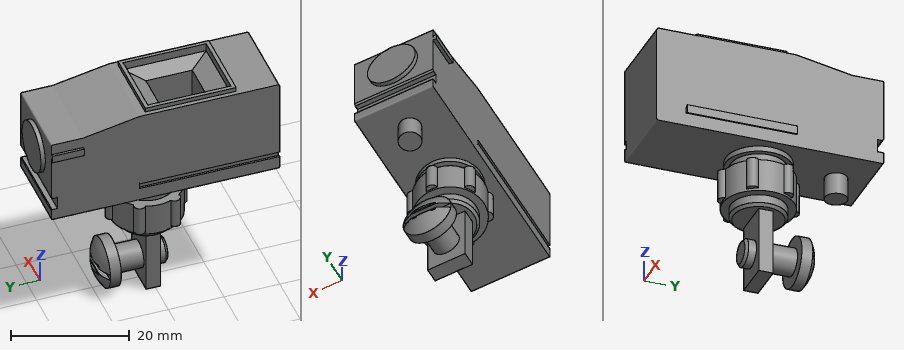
import cadquery as cq
import math


body_width = 15.1
half_width = body_width / 2
front_y = -21.25
back_y = 19.75
body_height = 18.0
low_height = 16.1
slope_start_y = 3.9
slope_end_y = 14.05
front_top_radius = 0.5
corner_radius = 0.3

notch_bottom = 2.15
notch_top = 4.5
notch_depth = 1.1
notch_top_chamfer = 0.3
notch_bottom_chamfer = 0.15

rail_depth = 0.7
lower_rail_z = 2.9
lower_rail_root = 0.98
lower_rail_face = 1.54
lower_rail_front_y = -16.0
upper_rail_z = 13.57
upper_rail_root = 1.0
upper_rail_face = 1.4

rim_width = 13.5
rim_length = 16.3
rim_height = 0.8
rim_wall = 0.7
window_y = -5.55
window_width = rim_width - 2 * rim_wall
window_length = rim_length - 2 * rim_wall
rim_top = body_height + rim_height
straight_depth = 1.5
funnel_depth = 1.7
throat_width = 8.0
throat_length = 8.3
throat_x = -0.1
throat_floor = 8.0

pad_diameter = 9.2
pad_z = 10.35
pad_height = 0.8

locator_diameter = 4.0
locator_y = 14.0
locator_length = 4.0

flange_diameter = 11.8
flange_height = 1.0
neck_diameter = 10.0
neck_length = 11.0
neck_chamfer = 0.5
knob_diameter = 12.9
knob_top = -3.0
knob_bottom = -9.0
lobe_count = 6
lobe_radius = 1.05
lobe_circle_radius = 6.25
lobe_bottom = -8.55

lug_width = 7.2
lug_thickness = 2.6
lug_bottom = -23.1
screw_z = -18.05
shank_diameter = 5.0
shank_tip_y = -3.2
tip_chamfer = 0.5
head_diameter = 9.2
head_seat_y = 6.1
head_rim_y = 8.05
head_crown_y = 9.65
slot_width = 1.1
slot_mouth_width = 1.85
slot_mouth_depth = 0.4


def box(x_range, y_range, z_range):
    """Box spanning the given (low, high) range on each axis."""
    lows, highs = zip(x_range, y_range, z_range)
    sizes = [high - low for low, high in zip(lows, highs)]
    return cq.Workplane("XY").box(*sizes, centered=False).translate(lows)


def rod_z(diameter, low, high, y=0.0):
    """Upright cylinder between two heights."""
    return cq.Workplane("XY", origin=(0, y, low)).circle(diameter / 2).extrude(high - low)


def dovetail(x_root, direction, y_range, z_mid, root, face):
    """Prism along Y, from height root at x_root to height face one rail depth along direction."""
    x_face = x_root + direction * rail_depth
    y_low, y_high = y_range
    return (
        cq.Workplane("XZ", origin=(0, y_high, 0))
        .polyline([
            (x_root, z_mid - root / 2),
            (x_face, z_mid - face / 2),
            (x_face, z_mid + face / 2),
            (x_root, z_mid + root / 2),
        ])
        .close()
        .extrude(y_high - y_low)
    )


def make_housing():
    """Side profile with a notch in the back, extruded across the width."""
    notch_y = back_y - notch_depth
    profile = [
        (front_y, 0),
        (back_y, 0),
        (back_y, notch_bottom - notch_bottom_chamfer),
        (back_y - notch_bottom_chamfer, notch_bottom),
        (notch_y, notch_bottom),
        (notch_y, notch_top),
        (back_y - notch_top_chamfer, notch_top),
        (back_y, notch_top + notch_top_chamfer),
        (back_y, low_height),
        (slope_end_y, low_height),
        (slope_start_y, body_height),
        (front_y, body_height),
    ]
    housing = (
        cq.Workplane("YZ", origin=(-half_width, 0, 0)).polyline(profile).close().extrude(body_width)
    )
    housing = housing.faces("<Y").edges(">Z").fillet(front_top_radius)
    housing = housing.faces("<Z").edges("|X").fillet(corner_radius)
    top_back_edge = cq.selectors.NearestToPointSelector((0, back_y, low_height))
    return housing.edges(top_back_edge).fillet(corner_radius)


def add_rails(housing):
    """Rails on both sides and the groove that receives the lower rail of a neighbour."""
    groove = dovetail(
        -half_width, 1, (front_y, slope_start_y), lower_rail_z, lower_rail_root, lower_rail_face
    )
    lower_rail = dovetail(
        half_width, 1, (lower_rail_front_y, slope_start_y), lower_rail_z, lower_rail_root, lower_rail_face
    )
    upper_rail = dovetail(
        -half_width, -1, (slope_end_y, back_y), upper_rail_z, upper_rail_root, upper_rail_face
    )
    return housing.cut(groove).union(lower_rail).union(upper_rail)


def add_window(housing):
    """Raised rim around an opening that narrows through a funnel to a straight throat."""
    rim = (
        cq.Workplane("XY", origin=(0, window_y, body_height))
        .rect(rim_width, rim_length)
        .extrude(rim_height)
    )
    funnel_top = rim_top - straight_depth
    funnel_bottom = funnel_top - funnel_depth
    opening = (
        cq.Workplane("XY", origin=(0, window_y, funnel_top))
        .rect(window_width, window_length)
        .extrude(straight_depth)
    )
    funnel = (
        cq.Workplane("XY", origin=(0, window_y, funnel_top))
        .rect(window_width, window_length)
        .workplane(offset=-funnel_depth)
        .center(throat_x, 0)
        .rect(throat_width, throat_length)
        .loft(ruled=True)
    )
    throat = (
        cq.Workplane("XY", origin=(throat_x, window_y, throat_floor))
        .rect(throat_width, throat_length)
        .extrude(funnel_bottom - throat_floor)
    )
    return housing.union(rim).cut(opening).cut(funnel).cut(throat)


def make_pad():
    """Flat round pad standing out of the back face."""
    return (
        cq.Workplane("XZ", origin=(0, back_y, pad_z)).circle(pad_diameter / 2).extrude(-pad_height)
    )


def make_neck():
    """Round neck under the housing with a flange at its root and a chamfered end."""
    neck = rod_z(neck_diameter, -neck_length, 0).faces("<Z").chamfer(neck_chamfer)
    return neck.union(rod_z(flange_diameter, -flange_height, 0))


def make_knob():
    """Round knob with evenly spaced grip lobes, one of them facing -Y."""
    knob = rod_z(knob_diameter, knob_bottom, knob_top)
    lobes = (
        cq.Workplane("XY", origin=(0, 0, lobe_bottom))
        .polarArray(lobe_circle_radius, 90, 360, lobe_count)
        .circle(lobe_radius)
        .extrude(knob_top - lobe_bottom)
    )
    return knob.union(lobes)


def make_lug():
    """Flat bar hanging from the neck that carries the clamping screw."""
    half_lug = lug_width / 2
    half_thickness = lug_thickness / 2
    return box(
        (-half_lug, half_lug), (-half_thickness, half_thickness), (lug_bottom, -neck_length)
    )


def make_screw():
    """Domed screw along Y, revolved about its own axis, with a slot that is wider at its mouth."""
    shank_radius = shank_diameter / 2
    head_radius = head_diameter / 2
    crown_height = head_crown_y - head_rim_y
    dome_radius = (head_radius**2 + crown_height**2) / (2 * crown_height)
    arc_x = head_radius / 2
    arc_y = head_crown_y - dome_radius + math.sqrt(dome_radius**2 - arc_x**2)
    screw = (
        cq.Workplane("XY", origin=(0, 0, screw_z))
        .moveTo(0, shank_tip_y)
        .lineTo(shank_radius - tip_chamfer, shank_tip_y)
        .lineTo(shank_radius, shank_tip_y + tip_chamfer)
        .lineTo(shank_radius, head_seat_y)
        .lineTo(head_radius, head_seat_y)
        .lineTo(head_radius, head_rim_y)
        .threePointArc((arc_x, arc_y), (0, head_crown_y))
        .close()
        .revolve(360, (0, 0, 0), (0, 1, 0))
    )
    mouth_y = head_crown_y - slot_mouth_depth
    for width, floor_y in ((slot_width, head_rim_y), (slot_mouth_width, mouth_y)):
        slot = box(
            (-head_radius, head_radius),
            (floor_y, head_crown_y),
            (screw_z - width / 2, screw_z + width / 2),
        )
        screw = screw.cut(slot)
    return screw


housing = add_window(add_rails(make_housing()))
locator = rod_z(locator_diameter, -locator_length, 0, locator_y)
result = (
    housing.union(make_pad())
    .union(locator)
    .union(make_neck())
    .union(make_knob())
    .union(make_lug())
    .union(make_screw())
)